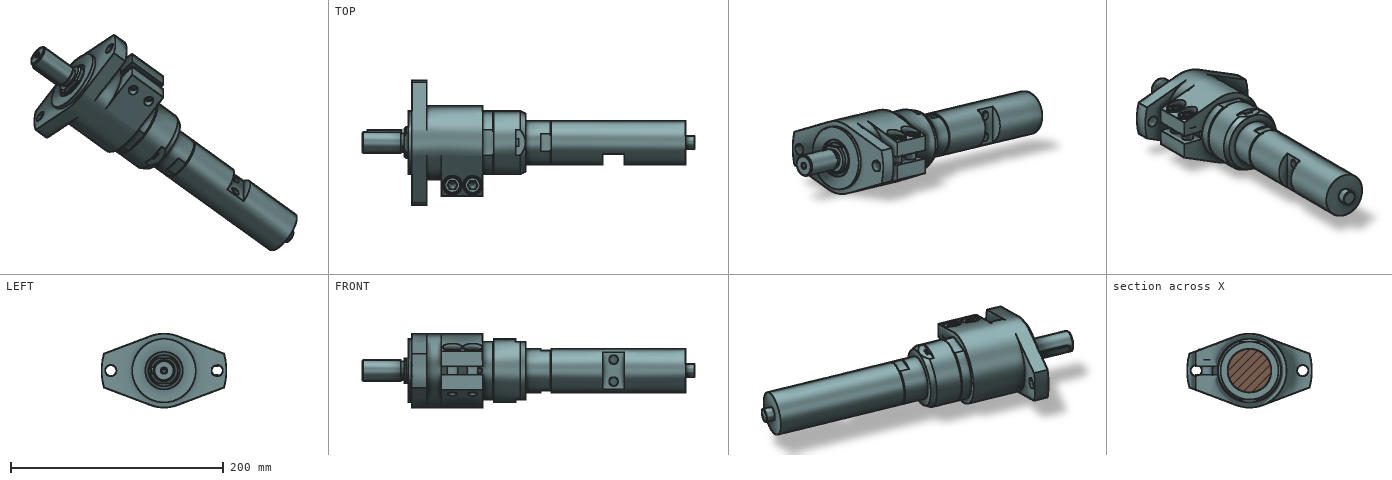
import cadquery as cq
import math

TOTAL_LENGTH = 313.5

SHAFT_D = 20.0
SHAFT_END_X = 36.0
SHAFT_CHAMFER = 1.1
NECK_D = 18.0
KEY_WIDTH = 6.0
KEY_START_X = 4.7
KEY_LENGTH = 32.3
KEY_TOP_Y = 12.0
CENTER_HOLE_D = 5.0
CENTER_SINK_D = 6.3
CENTER_HOLE_DEPTH = 9.5

COLLAR_X = 39.8
COLLAR_D = 29.5
COLLAR_CHAMFER = 1.5
COLLAR_ACROSS_FLATS = 23.5

PILOT_X = 43.5
HOUSING_D = 60.0
SEAL_RECESS_D = 35.5
SEAL_RECESS_DEPTH = 2.0
HOUSING_ACROSS_FLATS = 55.0
HOUSING_GROOVE_END_X = 123.8
CAP_X = 144.5
CAP_CONE_X = 149.0
CAP_END_X = 154.2
CAP_END_D = 54.5
CAP_NOTCH_LENGTH = 3.0
CAP_NOTCH_WIDTH = 7.2
CAP_NOTCH_DEPTH = 1.5

TUBE_D = 41.5
TUBE_END_X = 305.0
TUBE_FLATS_X = 168.5
TUBE_FLATS_END_X = 178.5
TUBE_ACROSS_FLATS = 38.0
STUB_D = 13.0
STUB_CHAMFER = 0.47
GROOVE_WIDTH = 1.0
GROOVE_DEPTH = 0.47

POCKET_X = 237.0
POCKET_LENGTH = 20.0
POCKET_FLOOR_Y = -11.0
PORT_D = 8.5
PORT_Z = 10.5
PORT_DEPTH = 6.3

BODY_D = 70.0
FLANGE_X = 46.7
FLANGE_THICKNESS = 14.0
FLANGE_SPAN = 118.0
FLANGE_CORNER_Z = 16.0
FLANGE_HOLE_D = 10.5
FLANGE_HOLE_Y = 50.2
CLAMP_X = 74.5
CLAMP_END_X = 113.5
EAR_END_Y = -50.5
EAR_END_Z = 18.2
EAR_GAP = 8.0
PIN_HOLE_D = 5.0
PIN_HOLE_X = 110.7
PIN_HOLE_DEPTH = 3.0

SCREW_X = (85.0, 104.0)
SCREW_Y = -40.0
SCREW_D = 10.0
SCREW_HEAD_D = 16.0
SCREW_HEAD_HEIGHT = 10.0
SCREW_HEAD_TOP_Z = 20.0
SCREW_HEAD_CHAMFER = 1.0
HEX_ACROSS_FLATS = 8.0
HEX_DEPTH = 5.0
HEX_TURN = 90.0
COUNTERBORE_D = 18.0
TAPPED_HOLE_D = 8.5
SCREW_TIP_Z = -15.7

DRILL_POINT_ANGLE = 118.0
OVERCUT = 3.0


def cylinder_x(diameter, start, end):
    """Solid cylinder on the drive axis from X = start to X = end."""
    return cq.Workplane("YZ", origin=(start, 0, 0)).circle(diameter / 2).extrude(end - start)


def block(x_range, y_range, z_range):
    """Axis-aligned box given by its limits on each axis."""
    size = [high - low for low, high in (x_range, y_range, z_range)]
    corner = (x_range[0], y_range[0], z_range[0])
    return cq.Workplane(cq.Solid.makeBox(*size, pnt=cq.Vector(*corner)))


def cylinder_z(diameter, x, y, bottom, top):
    """Solid vertical cylinder."""
    return cq.Workplane("XY", origin=(x, y, bottom)).circle(diameter / 2).extrude(top - bottom)


def drill_point(diameter, center, direction):
    """Cone left by a drill at the bottom of a blind hole."""
    height = diameter / 2 / math.tan(math.radians(DRILL_POINT_ANGLE / 2))
    cone = cq.Solid.makeCone(
        diameter / 2, 0, height, pnt=cq.Vector(*center), dir=cq.Vector(*direction)
    )
    return cq.Workplane(cone)


def tangent_point(radius, y, z):
    """Upper point where the line from (y, z) touches the circle around the axis."""
    angle = math.atan2(z, abs(y)) + math.acos(radius / math.hypot(y, z))
    return math.copysign(radius * math.cos(angle), y), radius * math.sin(angle)


def cut_flats(solid, across, start, end):
    """Remove everything above and below a pair of horizontal flats."""
    reach = BODY_D / 2
    for low, high in ((across / 2, reach), (-reach, -across / 2)):
        solid = solid.cut(block((start, end), (-reach, reach), (low, high)))
    return solid


def cut_groove(solid, diameter, end):
    """Shallow ring groove whose far wall is at X = end."""
    start = end - GROOVE_WIDTH
    core = cylinder_x(diameter - 2 * GROOVE_DEPTH, start, end)
    return solid.cut(cylinder_x(diameter + OVERCUT, start, end).cut(core))


def make_shaft():
    shaft = cylinder_x(SHAFT_D, 0, SHAFT_END_X).faces("<X").chamfer(SHAFT_CHAMFER)
    neck = cylinder_x(NECK_D, SHAFT_END_X, COLLAR_X)
    key = (
        cq.Workplane("XZ", origin=(KEY_START_X + KEY_LENGTH / 2, 0, 0))
        .slot2D(KEY_LENGTH, KEY_WIDTH)
        .extrude(-KEY_TOP_Y)
    )
    center_hole = cylinder_x(CENTER_HOLE_D, 0, CENTER_HOLE_DEPTH)
    center_hole = center_hole.union(
        drill_point(CENTER_HOLE_D, (CENTER_HOLE_DEPTH, 0, 0), (1, 0, 0))
    )
    sink_depth = (CENTER_SINK_D - CENTER_HOLE_D) / 2
    sink = cq.Workplane(
        cq.Solid.makeCone(
            CENTER_SINK_D / 2, CENTER_HOLE_D / 2, sink_depth, dir=cq.Vector(1, 0, 0)
        )
    )
    return shaft.union(neck).union(key).cut(center_hole).cut(sink)


def make_collar():
    end = PILOT_X + SEAL_RECESS_DEPTH
    collar = cylinder_x(COLLAR_D, COLLAR_X, end).faces("<X").chamfer(COLLAR_CHAMFER)
    return cut_flats(collar, COLLAR_ACROSS_FLATS, COLLAR_X, PILOT_X)


def make_gear_housing():
    housing = (
        cq.Workplane("XY")
        .moveTo(PILOT_X, 0)
        .lineTo(PILOT_X, HOUSING_D / 2)
        .lineTo(CAP_CONE_X, HOUSING_D / 2)
        .lineTo(CAP_END_X, CAP_END_D / 2)
        .lineTo(CAP_END_X, 0)
        .close()
        .revolve(360, (0, 0, 0), (1, 0, 0))
    )
    housing = housing.cut(cylinder_x(SEAL_RECESS_D, PILOT_X, PILOT_X + SEAL_RECESS_DEPTH))
    housing = cut_flats(housing, HOUSING_ACROSS_FLATS, CLAMP_END_X, HOUSING_GROOVE_END_X)
    housing = cut_flats(housing, HOUSING_ACROSS_FLATS, CAP_X, CAP_END_X)
    housing = cut_groove(housing, HOUSING_D, HOUSING_GROOVE_END_X)
    flat_z = HOUSING_ACROSS_FLATS / 2
    for low, high in ((flat_z - CAP_NOTCH_DEPTH, flat_z), (-flat_z, CAP_NOTCH_DEPTH - flat_z)):
        notch = block(
            (CAP_X, CAP_X + CAP_NOTCH_LENGTH),
            (-CAP_NOTCH_WIDTH / 2, CAP_NOTCH_WIDTH / 2),
            (low, high),
        )
        housing = housing.cut(notch)
    return housing


def make_motor_tube():
    tube = cylinder_x(TUBE_D, CAP_END_X, TUBE_END_X)
    tube = cut_flats(tube, TUBE_ACROSS_FLATS, TUBE_FLATS_X, TUBE_FLATS_END_X)
    tube = cut_groove(tube, TUBE_D, TUBE_FLATS_END_X)
    pocket = block(
        (POCKET_X - POCKET_LENGTH / 2, POCKET_X + POCKET_LENGTH / 2),
        (-TUBE_D, POCKET_FLOOR_Y),
        (-TUBE_D, TUBE_D),
    )
    ports = (
        cq.Workplane("XZ", origin=(POCKET_X, POCKET_FLOOR_Y, 0))
        .pushPoints([(0, PORT_Z), (0, -PORT_Z)])
        .circle(PORT_D / 2)
        .extrude(-PORT_DEPTH)
    )
    stub = cylinder_x(STUB_D, TUBE_END_X, TOTAL_LENGTH).faces(">X").chamfer(STUB_CHAMFER)
    return tube.cut(pocket).cut(ports).union(stub)


def make_flange():
    radius = BODY_D / 2
    end_y = FLANGE_SPAN / 2
    corner_y = math.sqrt(end_y**2 - FLANGE_CORNER_Z**2)
    touch_y, touch_z = tangent_point(radius, corner_y, FLANGE_CORNER_Z)
    plate = (
        cq.Workplane("YZ", origin=(FLANGE_X, 0, 0))
        .moveTo(-touch_y, touch_z)
        .lineTo(touch_y, touch_z)
        .lineTo(corner_y, FLANGE_CORNER_Z)
        .threePointArc((end_y, 0), (corner_y, -FLANGE_CORNER_Z))
        .lineTo(touch_y, -touch_z)
        .lineTo(-touch_y, -touch_z)
        .lineTo(-corner_y, -FLANGE_CORNER_Z)
        .threePointArc((-end_y, 0), (-corner_y, FLANGE_CORNER_Z))
        .close()
        .extrude(FLANGE_THICKNESS)
    )
    holes = (
        cq.Workplane("YZ", origin=(FLANGE_X, 0, 0))
        .pushPoints([(-FLANGE_HOLE_Y, 0), (FLANGE_HOLE_Y, 0)])
        .circle(FLANGE_HOLE_D / 2)
        .extrude(FLANGE_THICKNESS)
    )
    return plate.cut(holes).union(cylinder_x(BODY_D, FLANGE_X, CLAMP_X))


def make_clamp():
    radius = BODY_D / 2
    touch_y, touch_z = tangent_point(radius, EAR_END_Y, EAR_END_Z)
    ears = (
        cq.Workplane("YZ", origin=(CLAMP_X, 0, 0))
        .moveTo(touch_y, touch_z)
        .lineTo(touch_y, -touch_z)
        .lineTo(EAR_END_Y, -EAR_END_Z)
        .lineTo(EAR_END_Y, EAR_END_Z)
        .close()
        .extrude(CLAMP_END_X - CLAMP_X)
    )
    clamp = ears.union(cylinder_x(BODY_D, CLAMP_X, CLAMP_END_X))
    gap = block((CLAMP_X, CLAMP_END_X), (EAR_END_Y, 0), (-EAR_GAP / 2, EAR_GAP / 2))
    clamp = clamp.cut(gap.cut(cylinder_x(HOUSING_D, CLAMP_X, CLAMP_END_X)))
    for x in SCREW_X:
        clamp = clamp.cut(make_screw_cuts(x)).union(make_screw(x))
    return clamp


def make_pin_hole():
    """Small blind hole into the housing wall, at the bottom of the ear gap."""
    return (
        cq.Workplane("XZ", origin=(PIN_HOLE_X, -HOUSING_D / 2 - OVERCUT, 0))
        .circle(PIN_HOLE_D / 2)
        .extrude(-PIN_HOLE_DEPTH - OVERCUT)
    )


def make_screw(x):
    """Socket-head screw with its head sunk into the upper ear."""
    head_bottom = SCREW_HEAD_TOP_Z - SCREW_HEAD_HEIGHT
    head = cylinder_z(SCREW_HEAD_D, x, SCREW_Y, head_bottom, SCREW_HEAD_TOP_Z)
    head = head.faces(">Z").chamfer(SCREW_HEAD_CHAMFER)
    socket = (
        cq.Workplane("XY", origin=(x, SCREW_Y, SCREW_HEAD_TOP_Z))
        .transformed(rotate=(0, 0, HEX_TURN))
        .polygon(6, HEX_ACROSS_FLATS, circumscribed=True)
        .extrude(-HEX_DEPTH)
    )
    socket = socket.union(
        drill_point(HEX_ACROSS_FLATS, (x, SCREW_Y, SCREW_HEAD_TOP_Z - HEX_DEPTH), (0, 0, -1))
    )
    shank = cylinder_z(SCREW_D, x, SCREW_Y, -EAR_GAP / 2, head_bottom)
    return head.cut(socket).union(shank)


def make_screw_cuts(x):
    """Counterbore for the head above, open tapped hole below the screw tip."""
    head_bottom = SCREW_HEAD_TOP_Z - SCREW_HEAD_HEIGHT
    counterbore = cylinder_z(COUNTERBORE_D, x, SCREW_Y, head_bottom, BODY_D / 2)
    tapped_hole = cylinder_z(TAPPED_HOLE_D, x, SCREW_Y, -BODY_D / 2, SCREW_TIP_Z)
    return counterbore.union(tapped_hole)


drive = make_gear_housing().union(make_motor_tube())
drive = drive.union(make_flange()).union(make_clamp()).cut(make_pin_hole())
result = drive.union(make_collar()).union(make_shaft())